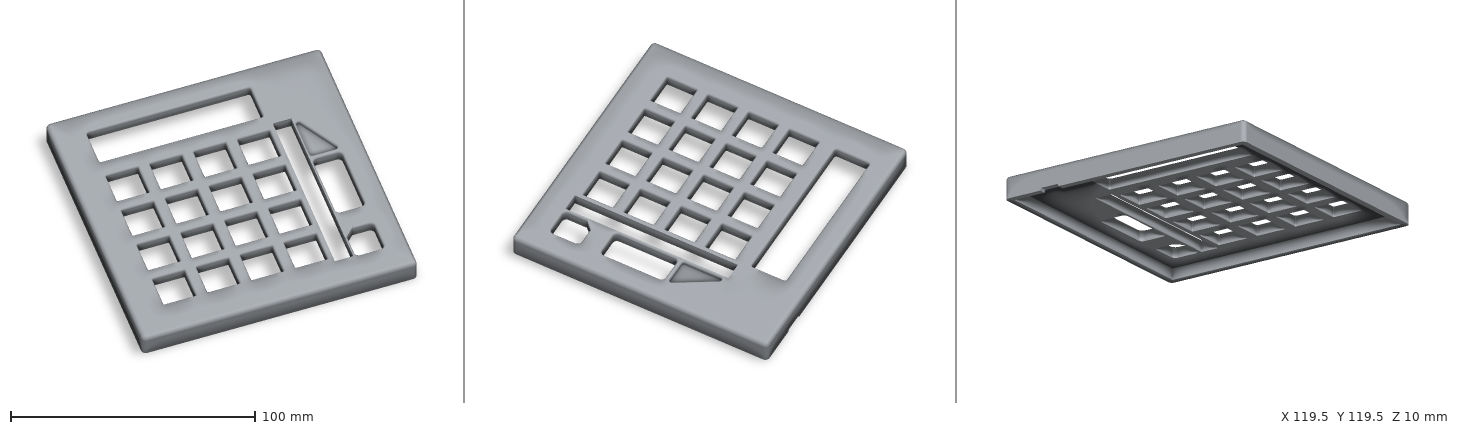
import cadquery as cq

SIDE = 119.5
HEIGHT = 10.0
EDGE_RADIUS = 2.0
PLATE_THICKNESS = 5.0
WALL_THICKNESS = 3.0
PLATE_BOTTOM = HEIGHT - PLATE_THICKNESS

RIM_RADIUS = 1.0
LAND_WIDTH = 0.05

KEY_COUNT = 4
KEY_PITCH = 19.05
KEY_SIZE = 14.0
KEY_CORNER_RADIUS = 0.5
GRID_CENTER_X = 9.65
GRID_CENTER_Y = -9.9
GRID_HALF_SPAN = (KEY_COUNT - 1) * KEY_PITCH / 2
GRID_HALF_HEIGHT = GRID_HALF_SPAN + KEY_SIZE / 2

STRIP_LEFT = -49.65
STRIP_RIGHT = -33.45
STRIP_CORNER_RADIUS = 1.0

SLOT_LEFT = -28.5
SLOT_RIGHT = 47.7
SLOT_BOTTOM = 28.0
SLOT_TOP = 36.0

ROW_BOTTOM = SLOT_TOP + RIM_RADIUS + LAND_WIDTH
ROW_TOP = 49.7
ROW_CORNER_RADIUS = 2.0
DISPLAY_LEFT = -5.7
DISPLAY_RIGHT = 24.0
KNOB_LEFT = 33.6
KNOB_RIGHT = SLOT_RIGHT

WEB_LEG = 5.5

RECESS_LEFT = -28.8
RECESS_RIGHT = DISPLAY_LEFT - 2 * RIM_RADIUS - LAND_WIDTH
RECESS_DEPTH = 2.0
RECESS_CORNER_RADIUS = 1.0

NOTCH_CENTER_Y = 37.3
NOTCH_WIDTH = 9.0
NOTCH_HEIGHT = 1.1
NOTCH_CHAMFER = 0.6


def box_between(left, right, bottom, top, low, high):
    """Box given by its limits along X, Y and Z."""
    box = cq.Workplane("XY").box(right - left, top - bottom, high - low, centered=False)
    return box.translate((left, bottom, low))


def make_tray():
    """Rounded square block, hollowed from below."""
    block = cq.Workplane("XY").box(SIDE, SIDE, HEIGHT, centered=(True, True, False))
    block = block.edges("|Z or >Z").fillet(EDGE_RADIUS)
    cavity_side = SIDE - 2 * WALL_THICKNESS
    cavity = cq.Workplane("XY").box(cavity_side, cavity_side, PLATE_BOTTOM, centered=(True, True, False))
    return block.cut(cavity)


def window(left, right, bottom, top, corner_radius):
    """Cutter for a rounded rectangular window through the plate."""
    return box_between(left, right, bottom, top, PLATE_BOTTOM, HEIGHT).edges("|Z").fillet(corner_radius)


def cut_key_windows(body):
    """Square grid of key windows."""
    half_key = KEY_SIZE / 2
    for column in range(KEY_COUNT):
        for row in range(KEY_COUNT):
            x = GRID_CENTER_X - GRID_HALF_SPAN + column * KEY_PITCH
            y = GRID_CENTER_Y - GRID_HALF_SPAN + row * KEY_PITCH
            key = window(x - half_key, x + half_key, y - half_key, y + half_key, KEY_CORNER_RADIUS)
            body = body.cut(key)
    return body


def cut_large_windows(body):
    """Long window beside the keys, and the display and knob windows above them."""
    strip_bottom = GRID_CENTER_Y - GRID_HALF_HEIGHT
    strip_top = GRID_CENTER_Y + GRID_HALF_HEIGHT
    body = body.cut(window(STRIP_LEFT, STRIP_RIGHT, strip_bottom, strip_top, STRIP_CORNER_RADIUS))
    body = body.cut(window(DISPLAY_LEFT, DISPLAY_RIGHT, ROW_BOTTOM, ROW_TOP, ROW_CORNER_RADIUS))
    return body.cut(window(KNOB_LEFT, KNOB_RIGHT, ROW_BOTTOM, ROW_TOP, ROW_CORNER_RADIUS))


def cut_recess(body):
    """Blind right-angled triangular recess left of the display window."""
    corners = [(RECESS_LEFT, ROW_BOTTOM), (RECESS_RIGHT, ROW_BOTTOM), (RECESS_RIGHT, ROW_TOP)]
    floor = cq.Workplane("XY").workplane(offset=HEIGHT - RECESS_DEPTH)
    recess = floor.polyline(corners).close().extrude(RECESS_DEPTH)
    return body.cut(recess.edges("|Z").fillet(RECESS_CORNER_RADIUS))


def round_rims(body):
    """Round the upper rim of every opening in the top face."""
    top_face = body.faces(">Z").val()
    rim_edges = [edge for rim in top_face.innerWires() for edge in rim.Edges()]
    return body.newObject(rim_edges).fillet(RIM_RADIUS)


def cut_slot(body):
    """Sharp-edged slot through the plate."""
    return body.cut(box_between(SLOT_LEFT, SLOT_RIGHT, SLOT_BOTTOM, SLOT_TOP, PLATE_BOTTOM, HEIGHT))


def add_knob_web(body):
    """Triangular web across the lower left corner of the knob window, flush with the plate."""
    corner_x = KNOB_LEFT - RIM_RADIUS
    corners = [(corner_x, SLOT_TOP), (corner_x + WEB_LEG, SLOT_TOP), (corner_x, SLOT_TOP + WEB_LEG)]
    base = cq.Workplane("XY").workplane(offset=PLATE_BOTTOM)
    return body.union(base.polyline(corners).close().extrude(PLATE_THICKNESS))


def cut_cable_notch(body):
    """Notch with chamfered upper corners through the lower edge of the -X wall."""
    left = -SIDE / 2
    half_width = NOTCH_WIDTH / 2
    near_end = NOTCH_CENTER_Y - half_width
    far_end = NOTCH_CENTER_Y + half_width
    notch = box_between(left, left + WALL_THICKNESS, near_end, far_end, 0, NOTCH_HEIGHT)
    return body.cut(notch.edges("|X and >Z").chamfer(NOTCH_CHAMFER))


result = make_tray()
result = cut_key_windows(result)
result = cut_large_windows(result)
result = cut_recess(result)
result = round_rims(result)
result = cut_slot(result)
result = add_knob_web(result)
result = cut_cable_notch(result)